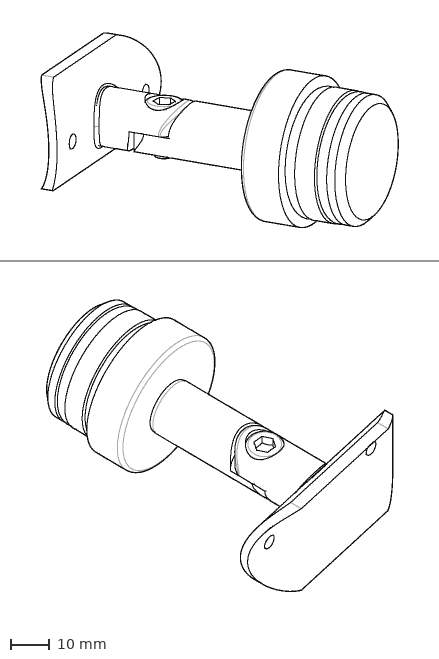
import cadquery as cq
import math


saddle_length = 60.0
saddle_height = 31.1
saddle_back = 10.55
saddle_wall = 2.4
saddle_outer_radius = 20.8
saddle_straight_length = 35.9
saddle_hole_diameter = 4.0
saddle_hole_spacing = 42.0

rod_diameter = 15.65
rod_radius = rod_diameter / 2
weld_size = 1.0
lap_shoulder_radius = 12.0
stub_tip = 34.0
stub_tip_radius = 8.6
stub_tip_fillet = 1.0
stub_shoulder = 17.3
post_tip = 18.7
post_tip_radius = 8.2
post_shoulder = 34.4

screw_x = 26.5
screw_head_diameter = 10.0
screw_head_height = 5.0
screw_head_top = 6.9
screw_head_fillet = 0.7
screw_shank_diameter = 5.0
screw_end = -8.05
socket_flats = 5.0
socket_depth = 2.5
socket_turn = 23.0
socket_cone_angle = 118.0

flange_front = 58.3
flange_back = 69.5
flange_radius = 19.9
flange_fillet = 1.0
post_end_fillet = 3.0
post_rounding_exposed = 1.0
post_end = flange_front - post_rounding_exposed + post_end_fillet

plug_end = 86.5
band_radius = 17.5
end_disc_radius = 17.3
end_chamfer = 2.1
ring_outer_radius = 17.4
ring_section_radius = 1.7
groove_width = 2 * ring_section_radius
groove_floor_radius = ring_outer_radius - groove_width
second_groove_start = 78.6
groove_starts = [flange_back, second_groove_start]

past_rod = rod_diameter
past_length = 2 * plug_end
edge_margin = 0.1


def rod(start, end):
    """Round bar along X."""
    return cq.Workplane("YZ", origin=(start, 0, 0)).circle(rod_radius).extrude(end - start)


def lap_end(tip, radius, direction, upper):
    """Long block above or below z = 0 whose upright round end points along +X (1) or -X (-1)."""
    height = past_rod if upper else -past_rod
    center = tip - direction * radius
    block = (
        cq.Workplane("XY")
        .center(center - direction * past_length / 2, 0)
        .rect(past_length, 2 * radius)
        .extrude(height)
    )
    nose = cq.Workplane("XY").center(center, 0).circle(radius).extrude(height)
    return block.union(nose)


def make_saddle_wall():
    """Curved wall of full length, before the ends are rounded."""
    half_height = saddle_height / 2
    outer_center = saddle_back - saddle_outer_radius
    inner_crest = saddle_back - saddle_wall
    outer_edge = outer_center + math.sqrt(saddle_outer_radius**2 - half_height**2)
    return (
        cq.Workplane("XZ")
        .moveTo(0, half_height)
        .threePointArc((inner_crest, 0), (0, -half_height))
        .lineTo(outer_edge, -half_height)
        .threePointArc((saddle_back, 0), (outer_edge, half_height))
        .close()
        .extrude(saddle_length / 2, both=True)
    )


def make_saddle():
    """Curved plate with rounded ends and two fixing holes."""
    half_length = saddle_length / 2
    half_height = saddle_height / 2
    half_straight = saddle_straight_length / 2
    outline = (
        cq.Workplane("YZ")
        .moveTo(-half_straight, half_height)
        .lineTo(half_straight, half_height)
        .threePointArc((half_length, 0), (half_straight, -half_height))
        .lineTo(-half_straight, -half_height)
        .threePointArc((-half_length, 0), (-half_straight, half_height))
        .close()
        .extrude(saddle_back)
    )
    holes = (
        cq.Workplane("YZ")
        .pushPoints([(-saddle_hole_spacing / 2, 0), (saddle_hole_spacing / 2, 0)])
        .circle(saddle_hole_diameter / 2)
        .extrude(saddle_back)
    )
    return make_saddle_wall().intersect(outline).cut(holes)


def saddle_drum():
    """Solid cylinder bounded by the outer surface of the saddle."""
    return (
        cq.Workplane("XZ")
        .center(saddle_back - saddle_outer_radius, 0)
        .circle(saddle_outer_radius)
        .extrude(saddle_length, both=True)
    )


def make_weld():
    """Concave bead around the root of the stub."""
    drum = saddle_drum()
    bar = rod(0, stub_shoulder)
    root_edge = cq.selectors.BoxSelector(
        (0, -past_rod, -past_rod),
        (saddle_back + edge_margin, past_rod, past_rod),
    )
    return drum.union(bar).edges(root_edge).fillet(weld_size).cut(drum).cut(bar)


def make_socket():
    """Hexagonal socket with a conical bottom, open at the top of the screw head."""
    corner_radius = socket_flats / math.sqrt(3)
    cone_depth = corner_radius / math.tan(math.radians(socket_cone_angle / 2))
    hexagon = (
        cq.Workplane("XY")
        .polygon(6, 2 * corner_radius)
        .extrude(-socket_depth - cone_depth)
        .rotate((0, 0, 0), (0, 0, 1), socket_turn)
    )
    drilled = (
        cq.Workplane("XZ")
        .lineTo(corner_radius, 0)
        .lineTo(corner_radius, -socket_depth)
        .lineTo(0, -socket_depth - cone_depth)
        .close()
        .revolve(360, (0, 0), (0, 1))
    )
    return hexagon.intersect(drilled).translate((screw_x, 0, screw_head_top))


def make_screw():
    """Socket head screw standing upright."""
    head = (
        cq.Workplane("XY", origin=(screw_x, 0, screw_head_top))
        .circle(screw_head_diameter / 2)
        .extrude(-screw_head_height)
        .faces(">Z")
        .edges()
        .fillet(screw_head_fillet)
    )
    shank = (
        cq.Workplane("XY", origin=(screw_x, 0, screw_end))
        .circle(screw_shank_diameter / 2)
        .extrude(screw_head_top - screw_head_height - screw_end)
    )
    return head.union(shank).cut(make_socket())


def screw_bore():
    """Stepped hole that matches the screw."""
    head_bore = (
        cq.Workplane("XY", origin=(screw_x, 0, screw_head_top - screw_head_height))
        .circle(screw_head_diameter / 2)
        .extrude(past_rod)
    )
    shank_bore = (
        cq.Workplane("XY", origin=(screw_x, 0, -past_rod))
        .circle(screw_shank_diameter / 2)
        .extrude(2 * past_rod)
    )
    return head_bore.union(shank_bore)


def make_stub():
    """Bar on the saddle with a tongue above the lap plane."""
    tongue = rod(0, stub_tip).intersect(lap_end(stub_tip, stub_tip_radius, 1, True))
    tip_edge = cq.selectors.BoxSelector(
        (screw_x, -past_rod, edge_margin),
        (stub_tip + edge_margin, past_rod, past_rod),
    )
    tongue = tongue.edges(tip_edge).fillet(stub_tip_fillet)
    root = rod(0, screw_x).cut(lap_end(stub_shoulder, lap_shoulder_radius, -1, False))
    return root.union(tongue).cut(saddle_drum()).cut(screw_bore())


def make_post():
    """Bar on the flange with a tongue below the lap plane."""
    bar = rod(post_tip, post_end).faces(">X").edges().fillet(post_end_fillet)
    tongue = bar.intersect(lap_end(post_tip, post_tip_radius, -1, False))
    upper = bar.cut(lap_end(post_shoulder, lap_shoulder_radius, 1, True))
    lower_space = cq.Workplane("XY").rect(past_length, 2 * past_rod).extrude(-past_rod)
    return upper.cut(lower_space).union(tongue).cut(screw_bore())


def make_flange(post):
    """Disc with a recess for the end of the post."""
    disc = (
        cq.Workplane("YZ", origin=(flange_front, 0, 0))
        .circle(flange_radius)
        .extrude(flange_back - flange_front)
        .faces("<X")
        .edges()
        .fillet(flange_fillet)
    )
    return disc.cut(post)


def make_plug():
    """Turned plug with two grooves and a chamfered end."""
    first_groove_end = flange_back + groove_width
    second_groove_end = second_groove_start + groove_width
    return (
        cq.Workplane("XY")
        .moveTo(flange_back, 0)
        .lineTo(flange_back, groove_floor_radius)
        .lineTo(first_groove_end, groove_floor_radius)
        .lineTo(first_groove_end, band_radius)
        .lineTo(second_groove_start, band_radius)
        .lineTo(second_groove_start, groove_floor_radius)
        .lineTo(second_groove_end, groove_floor_radius)
        .lineTo(second_groove_end, end_disc_radius)
        .lineTo(plug_end - end_chamfer, end_disc_radius)
        .lineTo(plug_end, end_disc_radius - end_chamfer)
        .lineTo(plug_end, 0)
        .close()
        .revolve(360, (0, 0), (1, 0))
    )


def make_o_ring(groove_start):
    """Round-section ring that fills one groove."""
    center_radius = ring_outer_radius - ring_section_radius
    return (
        cq.Workplane("XY")
        .moveTo(groove_start + ring_section_radius, center_radius)
        .circle(ring_section_radius)
        .revolve(360, (0, 0), (1, 0))
    )


saddle = make_saddle()
weld = make_weld()
stub = make_stub()
screw = make_screw()
post = make_post()
flange = make_flange(post)
plug = make_plug()
o_rings = [make_o_ring(start) for start in groove_starts]

result = cq.Compound.makeCompound([
    saddle.solids().val(),
    weld.solids().val(),
    stub.solids().val(),
    screw.solids().val(),
    post.solids().val(),
    flange.solids().val(),
    plug.val(),
    *[ring.val() for ring in o_rings],
])